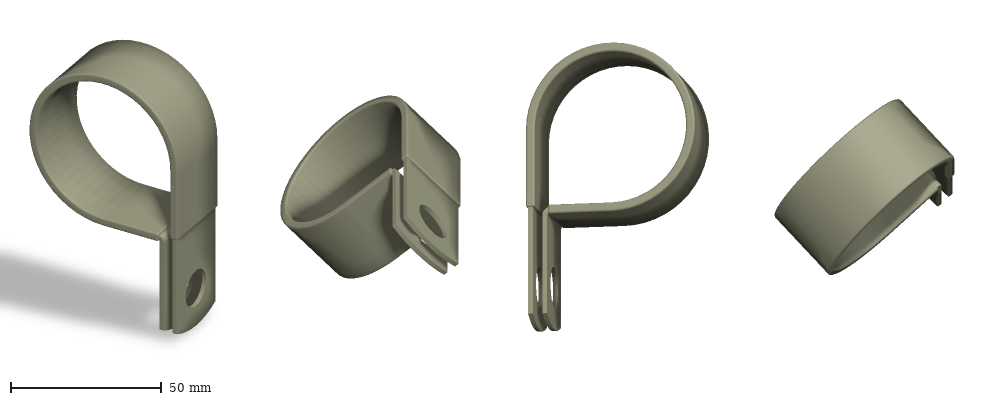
import cadquery as cq
import math

loop_diameter = 57.0
total_height = 93.6
cushion_width = 27.0
cushion_thickness = 3.0
strap_thickness = 1.6
floor_end_x = 21.1
wall_length = 26.1
near_leg_x = 22.9
bend_inner_radius = 1.0
hole_diameter = 13.5
hole_above_tip = 14.2
tip_rise = 3.0

outer_radius = loop_diameter / 2
inner_radius = outer_radius - cushion_thickness
cover = (cushion_thickness - strap_thickness) / 2
strap_width = cushion_width - 2 * cover
strap_outer_radius = outer_radius - cover
strap_inner_radius = strap_outer_radius - strap_thickness
bend_outer_radius = bend_inner_radius + strap_thickness
bottom_z = outer_radius - total_height


def upper_left_point(radius):
    """Midpoint of the 270 degree loop from -Z round to +X."""
    return (-radius * math.sqrt(0.5), radius * math.sqrt(0.5))


def make_cushion():
    """J-shaped cushion: flat floor, open loop and straight wall, rounded on every edge."""
    body = (
        cq.Workplane("XZ")
        .moveTo(floor_end_x, -outer_radius)
        .lineTo(0, -outer_radius)
        .threePointArc(upper_left_point(outer_radius), (outer_radius, 0))
        .lineTo(outer_radius, -wall_length)
        .lineTo(inner_radius, -wall_length)
        .lineTo(inner_radius, 0)
        .threePointArc(upper_left_point(inner_radius), (0, -inner_radius))
        .lineTo(floor_end_x, -inner_radius)
        .close()
        .extrude(cushion_width / 2, both=True)
    )
    end_centres = [
        (floor_end_x, 0, cushion_thickness / 2 - outer_radius),
        (outer_radius - cushion_thickness / 2, 0, -wall_length),
    ]
    rims = body.faces("<Y or >Y").edges()
    for centre in end_centres:
        end_face = body.faces(cq.NearestToPointSelector(centre))
        rims = rims.add(end_face.edges("|Y"))
    return rims.fillet(cover)


def make_strap():
    """Metal strap inside the cushion, leaving it as two parallel legs."""
    bend_x = near_leg_x - bend_outer_radius
    bend_z = -strap_inner_radius - bend_outer_radius
    diagonal = math.sqrt(0.5)
    bend_outer_mid = (bend_x + bend_outer_radius * diagonal, bend_z + bend_outer_radius * diagonal)
    bend_inner_mid = (bend_x + bend_inner_radius * diagonal, bend_z + bend_inner_radius * diagonal)
    return (
        cq.Workplane("XZ")
        .moveTo(bend_x, -strap_outer_radius)
        .lineTo(0, -strap_outer_radius)
        .threePointArc(upper_left_point(strap_outer_radius), (strap_outer_radius, 0))
        .lineTo(strap_outer_radius, bottom_z)
        .lineTo(strap_inner_radius, bottom_z)
        .lineTo(strap_inner_radius, 0)
        .threePointArc(upper_left_point(strap_inner_radius), (0, -strap_inner_radius))
        .lineTo(bend_x, -strap_inner_radius)
        .threePointArc(bend_outer_mid, (near_leg_x, bend_z))
        .lineTo(near_leg_x, bottom_z)
        .lineTo(near_leg_x - strap_thickness, bottom_z)
        .lineTo(near_leg_x - strap_thickness, bend_z)
        .threePointArc(bend_inner_mid, (bend_x, -strap_outer_radius))
        .close()
        .extrude(strap_width / 2, both=True)
    )


def make_leg_outline():
    """Strap outline along X, with the rounded tip and the bolt hole."""
    half_width = strap_width / 2
    shoulder_z = bottom_z + tip_rise
    outline = (
        cq.Workplane("YZ")
        .moveTo(-half_width, outer_radius)
        .lineTo(-half_width, shoulder_z)
        .threePointArc((0, bottom_z), (half_width, shoulder_z))
        .lineTo(half_width, outer_radius)
        .close()
        .extrude(loop_diameter, both=True)
    )
    bolt_hole = (
        cq.Workplane("YZ")
        .center(0, bottom_z + hole_above_tip)
        .circle(hole_diameter / 2)
        .extrude(loop_diameter, both=True)
    )
    return outline.cut(bolt_hole)


result = make_cushion().union(make_strap().intersect(make_leg_outline()))